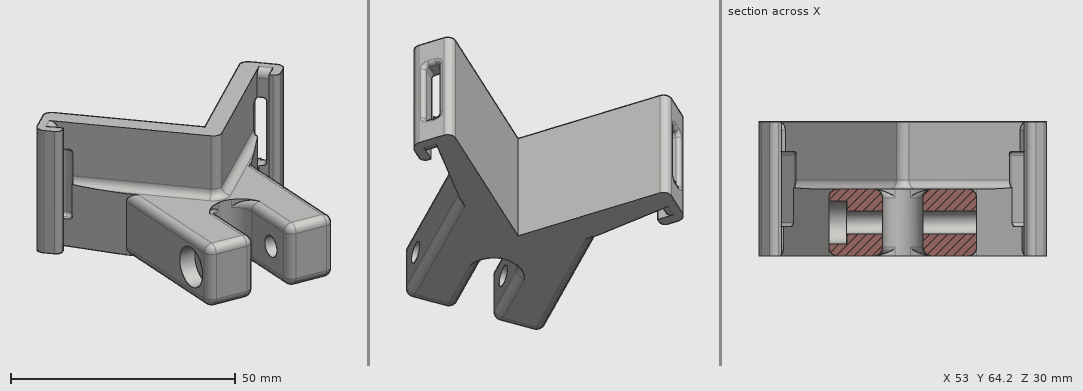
import cadquery as cq
import math


DIAGONAL = math.sqrt(2)

SPAN = 64.2
HEIGHT = 30.0
ARM_THICKNESS = 4.5
ROUND = 2.0

HOOK_DEPTH = 10.0
LIP_THICKNESS = 2.3
LIP_END = 30.65
LIP_ROUND = 1.5
HOOK_WALL = 4.0
ARM_LENGTH = (SPAN / 2 + ROUND * (DIAGONAL - 1)) * DIAGONAL - HOOK_DEPTH

SLOT_WIDTH = 3.35
SLOT_HEIGHT = 16.7
SLOT_CORNER = 0.85
SLOT_MOUTH_ROUND = 1.0
SLOT_END = 29.1

LOWER_HEIGHT = HEIGHT / 2
PAD_THICKNESS = 7.0
BLOCK_HALF_WIDTH = 16.5
BLOCK_END = 28.0
FORK_RADIUS = 4.5
FORK_CENTRE = 12.6
WEB_OVERLAP = 0.1

HOLE_X = 20.6
HOLE_DIAMETER = 5.1
COUNTERBORE_DIAMETER = 9.6
COUNTERBORE_DEPTH = 4.0


def arm_point(along, across):
    """Plan position of a point given in arm coordinates."""
    return ((across - along) / DIAGONAL, (across + along) / DIAGONAL)


def both_sides(half):
    """Join a +Y half with its mirror image."""
    return half.union(half.mirror("XZ"))


def upright_edge(along, across):
    """Selector for the upright edge at a plan position."""
    x, y = arm_point(along, across)
    return cq.selectors.NearestToPointSelector((x, y, HEIGHT / 2))


def make_arm():
    """Full-height arm with the hook at its end."""
    wall_inside = ARM_LENGTH - HOOK_WALL
    lip_inside = HOOK_DEPTH - LIP_THICKNESS
    outline = [
        (0, 0),
        (ARM_LENGTH, 0),
        (ARM_LENGTH, HOOK_DEPTH),
        (LIP_END, HOOK_DEPTH),
        (LIP_END, lip_inside),
        (wall_inside, lip_inside),
        (wall_inside, ARM_THICKNESS),
        (-ARM_THICKNESS, ARM_THICKNESS),
    ]
    arm = cq.Workplane("XY").polyline([arm_point(*p) for p in outline]).close().extrude(HEIGHT)
    arm = arm.edges(upright_edge(ARM_LENGTH, 0)).fillet(ROUND)
    arm = arm.edges(upright_edge(ARM_LENGTH, HOOK_DEPTH)).fillet(ROUND)
    arm = arm.edges(upright_edge(LIP_END, HOOK_DEPTH)).fillet(LIP_ROUND)
    return arm


def make_wall_rounding():
    """Corner material to remove along the top and bottom inner edges of the hook wall."""
    inside = ARM_LENGTH - HOOK_WALL
    width = HOOK_DEPTH - LIP_THICKNESS - ARM_THICKNESS
    x, y = arm_point(inside, ARM_THICKNESS)
    side = cq.Plane(origin=(x, y, 0), xDir=(-1, 1, 0), normal=(1, 1, 0))
    sliver = ROUND * (1 - 1 / DIAGONAL)
    tools = None
    for edge, step in ((0, 1), (HEIGHT, -1)):
        tool = (
            cq.Workplane(side)
            .moveTo(0, edge)
            .lineTo(ROUND, edge)
            .threePointArc((sliver, edge + step * sliver), (0, edge + step * ROUND))
            .close()
            .extrude(width)
        )
        tools = tool if tools is None else tools.union(tool)
    return tools


def make_strap_slot():
    """Slot with a half-round inner end, running along the arm through the hook wall."""
    middle = HOOK_DEPTH / 2
    near_side = middle - SLOT_WIDTH / 2
    far_side = middle + SLOT_WIDTH / 2
    start = ARM_LENGTH + SLOT_CORNER
    straight_end = SLOT_END + SLOT_WIDTH / 2
    return (
        cq.Workplane("XY", origin=(0, 0, (HEIGHT - SLOT_HEIGHT) / 2))
        .moveTo(*arm_point(start, near_side))
        .lineTo(*arm_point(straight_end, near_side))
        .threePointArc(arm_point(SLOT_END, middle), arm_point(straight_end, far_side))
        .lineTo(*arm_point(start, far_side))
        .close()
        .extrude(SLOT_HEIGHT)
        .faces("|Z")
        .edges()
        .fillet(SLOT_CORNER)
    )


def make_pad():
    """Thick backing of the lower half, tapering to nothing at the hook wall."""
    taper_start = BLOCK_HALF_WIDTH * DIAGONAL - PAD_THICKNESS
    outline = [
        (0, 0),
        (ARM_LENGTH - ROUND, ROUND),
        (ARM_LENGTH, ARM_THICKNESS),
        (taper_start, PAD_THICKNESS),
        (-PAD_THICKNESS, PAD_THICKNESS),
    ]
    return cq.Workplane("XY").polyline([arm_point(*p) for p in outline]).close().extrude(LOWER_HEIGHT)


def make_fork_gap_end():
    """Round closed end of the gap between the prongs."""
    return cq.Workplane("XY").center(FORK_CENTRE, 0).circle(FORK_RADIUS).extrude(LOWER_HEIGHT)


def make_block():
    """Forked block with rounded edges, starting at the outer faces of the arms."""
    gap_length = 2 * BLOCK_END
    block = (
        cq.Workplane("XY")
        .rect(2 * BLOCK_END, 2 * BLOCK_HALF_WIDTH)
        .extrude(LOWER_HEIGHT)
        .cut(make_fork_gap_end())
        .cut(
            cq.Workplane("XY")
            .center(FORK_CENTRE + gap_length / 2, 0)
            .rect(gap_length, 2 * FORK_RADIUS)
            .extrude(LOWER_HEIGHT)
        )
    )
    block = block.edges("|Z and >X").fillet(ROUND)
    block = block.faces("|Z").edges().fillet(ROUND)
    far = 2 * BLOCK_END
    space_behind_arms = (
        cq.Workplane("XY")
        .polyline([(0, 0), (-far, far), (far, far), (far, -far), (-far, -far)])
        .close()
        .extrude(LOWER_HEIGHT)
    )
    return block.intersect(space_behind_arms)


def make_web():
    """Unrounded web between arms and fork, hollowed by an arc that fades the rounded gap edge."""
    edge = FORK_RADIUS + ROUND
    return (
        cq.Workplane("XY")
        .moveTo(0, -edge)
        .lineTo(FORK_CENTRE, -edge)
        .threePointArc((FORK_CENTRE - FORK_RADIUS + WEB_OVERLAP, 0), (FORK_CENTRE, edge))
        .lineTo(0, edge)
        .close()
        .extrude(LOWER_HEIGHT)
    )


def make_cross_hole():
    """Through hole along Y, counterbored from the -Y side."""
    face = cq.Plane(origin=(HOLE_X, -BLOCK_HALF_WIDTH, LOWER_HEIGHT / 2), xDir=(1, 0, 0), normal=(0, -1, 0))
    hole = cq.Workplane(face).circle(HOLE_DIAMETER / 2).extrude(-2 * BLOCK_HALF_WIDTH)
    counterbore = cq.Workplane(face).circle(COUNTERBORE_DIAMETER / 2).extrude(-COUNTERBORE_DEPTH)
    return hole.union(counterbore)


def round_slot_mouth(arm):
    """Round the slot rim on the end face of the arm."""
    x, y = arm_point(ARM_LENGTH, HOOK_DEPTH / 2)
    end_face = arm.faces(cq.selectors.NearestToPointSelector((x, y, HEIGHT / 2))).val()
    rim = end_face.innerWires()[0]
    return arm.newObject(rim.Edges()).fillet(SLOT_MOUTH_ROUND)


def nearest_edge(body, x, z):
    """Edge closest to a point on the XZ plane."""
    return body.edges(cq.selectors.NearestToPointSelector((x, 0, z)))


strap_slot = make_strap_slot()

arm = make_arm().cut(make_wall_rounding()).cut(strap_slot)
arms = both_sides(round_slot_mouth(arm))
arms = nearest_edge(arms, ARM_THICKNESS * DIAGONAL, HEIGHT / 2).fillet(ROUND)

pad = make_pad().cut(strap_slot)
result = arms.union(both_sides(pad)).union(make_block()).union(make_web())
back_corner = (ARM_THICKNESS - ROUND) * DIAGONAL + ROUND
result = nearest_edge(result, back_corner, LOWER_HEIGHT).fillet(ROUND)

result = result.cut(make_fork_gap_end()).cut(make_cross_hole())